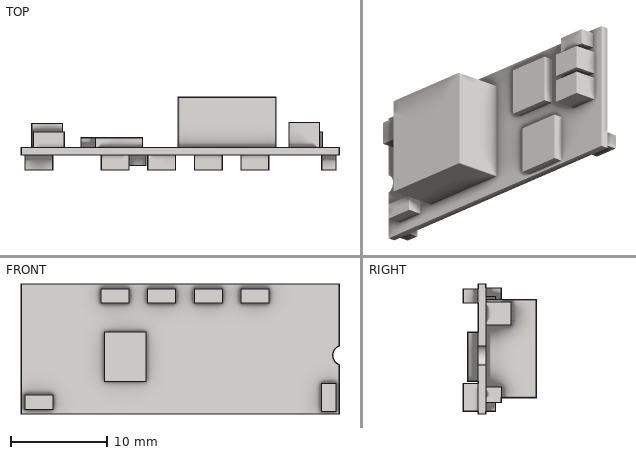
import cadquery as cq

board_length = 33.0
board_height = 13.5
board_thickness = 0.8

notch_radius = 1.05
notch_offset = 0.37
notch_center_x = board_length + notch_offset
notch_center_z = 6.1

block_length = 10.2
block_height = 10.2
block_depth = 5.22
block_left = 16.25
block_bottom = 1.7
block_corner_radius = 0.1

capacitor_long = 2.9
capacitor_short = 1.5
capacitor_depth = 1.55
top_row_count = 4
top_row_left = 8.3
top_row_pitch = 4.83
top_row_bottom = 11.5
corner_capacitor_left = 0.4
corner_capacitor_bottom = 0.5
upright_capacitor_left = 31.15
upright_capacitor_bottom = 0.3

front_chip_size = (4.3, 5.1, 1.1)
front_chip_place = (8.65, 3.4)

left_inductor_size = (3.2, 2.4, 2.5)
left_inductor_places = [(1.1, 5.6), (1.1, 8.5)]
right_inductor_size = (3.2, 2.4, 2.6)
right_inductor_place = (27.75, 9.25)

small_part_size = (3.2, 1.6, 1.6)
small_part_places = [(1.3, 11.5), (28.05, 1.2)]

back_chip_size = (4.9, 4.9, 1.0)
back_chip_places = [(6.2, 0.3), (7.7, 7.3)]


def box(size, place, y_start):
    """Box of (length, height, depth) with its left bottom edge at place, starting at y_start."""
    length, height, depth = size
    left, bottom = place
    return cq.Workplane("XY").box(length, depth, height, centered=False).translate((left, y_start, bottom))


def front_part(size, place):
    return box(size, place, -size[2])


def back_part(size, place):
    return box(size, place, board_thickness)


def make_board():
    board = box((board_length, board_height, board_thickness), (0, 0), 0)
    notch = (
        cq.Workplane("XZ")
        .center(notch_center_x, notch_center_z)
        .circle(notch_radius)
        .extrude(-board_thickness)
    )
    return board.cut(notch)


def make_block():
    block = back_part((block_length, block_height, block_depth), (block_left, block_bottom))
    return block.edges("|Y").fillet(block_corner_radius)


def make_front_parts():
    flat_capacitor = (capacitor_long, capacitor_short, capacitor_depth)
    upright_capacitor = (capacitor_short, capacitor_long, capacitor_depth)
    parts = [
        front_part(flat_capacitor, (top_row_left + i * top_row_pitch, top_row_bottom))
        for i in range(top_row_count)
    ]
    parts.append(front_part(flat_capacitor, (corner_capacitor_left, corner_capacitor_bottom)))
    parts.append(front_part(upright_capacitor, (upright_capacitor_left, upright_capacitor_bottom)))
    parts.append(front_part(front_chip_size, front_chip_place))
    return parts


def make_back_parts():
    parts = [back_part(left_inductor_size, place) for place in left_inductor_places]
    parts.append(back_part(right_inductor_size, right_inductor_place))
    parts += [back_part(small_part_size, place) for place in small_part_places]
    parts += [back_part(back_chip_size, place) for place in back_chip_places]
    return parts


result = make_board().union(make_block())
for part in make_front_parts() + make_back_parts():
    result = result.union(part)